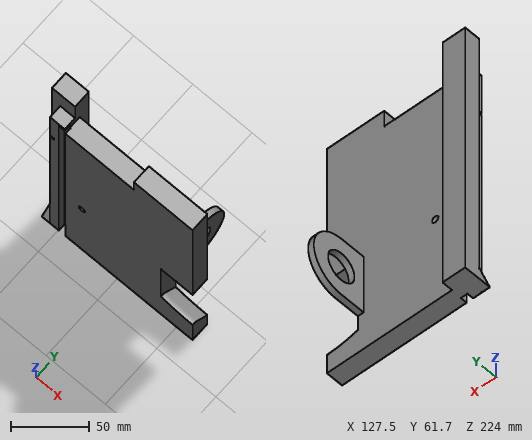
import cadquery as cq
import math

plate_width = 127.5
plate_thickness = 14.5
plate_height = 209.5
low_top_height = 195.0
raised_top_start = 78.0

bar_width = 19.5
bar_height = 224.0
bar_front = 10.0
bar_back = 23.5

rib_left = 7.0
rib_height = 202.5

groove_size = 5.5
groove_right = 20.0
groove_top = 199.5

cut_depth = 3.5
cut_bottom = 165.5
cut_height = 2.0

notch_left = 100.75
notch_top = 86.0
notch_floor_left = 34.0
notch_arc_radius = 76.0
lip_round_radius = 6.0
run_out_angle = math.radians(45)

pin_hole_diameter = 5.5
pin_hole_x = 34.0
pin_hole_z = 76.5

lug_thickness = 5.0
lug_radius = 26.0
lug_hole_diameter = 25.0
lug_center_z = 60.0
lug_tip = 61.67
lug_center_y = lug_tip - lug_radius


def block(x_range, y_range, z_range):
    """Axis-aligned box given by its limits on each axis."""
    size = [high - low for low, high in (x_range, y_range, z_range)]
    corner = (x_range[0], y_range[0], z_range[0])
    return cq.Workplane("XY").box(*size, centered=False).translate(corner)


def extrude_back(sketch, depth):
    """Extrude an XZ sketch from the front face toward +Y."""
    return sketch.extrude(-depth)


def make_plate():
    outline = (
        cq.Workplane("XZ")
        .moveTo(rib_left, 0)
        .lineTo(plate_width, 0)
        .lineTo(plate_width, plate_height)
        .lineTo(raised_top_start, plate_height)
        .lineTo(raised_top_start, low_top_height)
        .lineTo(rib_left, low_top_height)
        .close()
    )
    return extrude_back(outline, plate_thickness)


def make_bar_and_rib():
    bar = block((0, bar_width), (bar_front, bar_back), (0, bar_height))
    rib = block((rib_left, bar_width), (0, bar_front), (0, rib_height))
    return bar.union(rib)


def make_foot_wedge():
    """45 degree wedge in front of the bar, at its lower end."""
    return (
        cq.Workplane("YZ")
        .polyline([(0, 0), (bar_front, 0), (bar_front, bar_front)])
        .close()
        .extrude(rib_left)
    )


def make_lug():
    root = block(
        (notch_left - lug_thickness, notch_left),
        (plate_thickness, lug_center_y),
        (lug_center_z - lug_radius, lug_center_z + lug_radius),
    )
    side = cq.Workplane("YZ", origin=(notch_left - lug_thickness, 0, 0))
    center = side.center(lug_center_y, lug_center_z)
    eye = center.circle(lug_radius).extrude(lug_thickness)
    hole = center.circle(lug_hole_diameter / 2).extrude(lug_thickness)
    return root.union(eye).cut(hole)


def make_groove():
    groove_left = groove_right - groove_size
    return block((groove_left, groove_right), (0, groove_size), (0, groove_top))


def make_saw_cut():
    return block(
        (rib_left, rib_left + cut_depth),
        (0, bar_front),
        (cut_bottom, cut_bottom + cut_height),
    )


def make_notch():
    """Straight-sided notch whose floor is swept by a flared disc.

    The disc axis runs along Y above the right side of the plate. Its rim starts
    level at the front face, rounds over and runs out straight to the back face.
    """
    notch_width = plate_width - notch_left
    arc_rise = notch_arc_radius - math.sqrt(notch_arc_radius**2 - notch_width**2)
    disc_center_z = notch_floor_left - arc_rise + notch_arc_radius

    round_depth = lip_round_radius * math.sin(run_out_angle)
    round_drop = lip_round_radius * (1 - math.cos(run_out_angle))
    run_out_drop = (plate_thickness - round_depth) * math.tan(run_out_angle)
    back_radius = notch_arc_radius + round_drop + run_out_drop

    disc = (
        cq.Workplane("XY", origin=(plate_width, 0, disc_center_z))
        .lineTo(notch_arc_radius, 0)
        .radiusArc((notch_arc_radius + round_drop, round_depth), lip_round_radius)
        .lineTo(back_radius, plate_thickness)
        .lineTo(0, plate_thickness)
        .close()
        .revolve(360, (0, 0), (0, 1))
    )
    notch_bounds = block((notch_left, plate_width), (0, plate_thickness), (0, notch_top))
    return notch_bounds.intersect(disc)


def make_pin_hole():
    circle = cq.Workplane("XZ").center(pin_hole_x, pin_hole_z).circle(pin_hole_diameter / 2)
    return extrude_back(circle, plate_thickness)


result = (
    make_plate()
    .union(make_bar_and_rib())
    .union(make_foot_wedge())
    .cut(make_groove())
    .cut(make_saw_cut())
    .cut(make_notch())
    .cut(make_pin_hole())
    .union(make_lug())
)